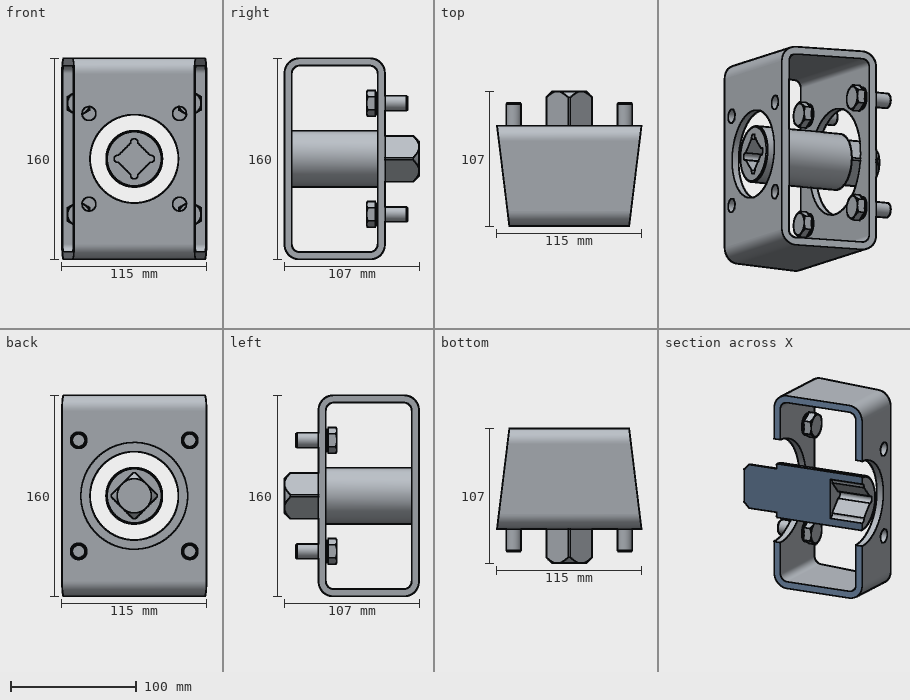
import cadquery as cq
import math


bracket_height = 160.0
bracket_depth = 80.0
back_width = 115.0
front_width = 95.4
outer_bend_radius = 12.0
wall = outer_bend_radius / 2
inner_bend_radius = outer_bend_radius - wall
front_opening_dia = 70.0
back_opening_dia = 85.0
front_hole_dia = 11.0
front_hole_spacing = 72.0
bolt_hole_dia = 13.0
bolt_spacing = 88.3

shaft_dia = 45.0
shaft_chamfer = 1.0
shaft_front_y = -bracket_depth
shaft_back_y = -2.2
drive_square = 27.0
drive_corner_dia = 36.5
drive_chamfer = 4.6
drive_end_y = 27.0
socket_square = 21.8
socket_depth = 28.8
relief_dia = 5.8
relief_centre_radius = 13.1

bolt_dia = 12.0
bolt_tip_chamfer = 1.0
bolt_tip_y = 18.0
head_flats = 18.0
head_height = 6.9
head_face_dia = 17.8
head_chamfer_angle = 30.0
collar_dia = 16.6
collar_height = 0.5
washer_dia = 18.0
washer_bore = bolt_hole_dia
washer_thickness = 1.3
washer_chamfer = 0.6


def cylinder(diameter, y_start, y_end):
    """Cylinder on the Y axis, from y_start to a larger y_end."""
    return cq.Workplane("XZ", origin=(0, y_end, 0)).circle(diameter / 2).extrude(y_end - y_start)


def diamond_bar(side, y_start, y_end):
    """Square bar on the Y axis with its corners on the X and Z axes."""
    bar = cq.Workplane("XZ", origin=(0, y_end, 0)).rect(side, side).extrude(y_end - y_start)
    return bar.rotate((0, 0, 0), (0, 1, 0), 45)


def square_pattern(spacing):
    """The four (x, z) corner places of a square pattern."""
    half = spacing / 2
    return [(x, z) for x in (-half, half) for z in (-half, half)]


def rounded_block(depth, height, radius):
    """Block as wide as the bracket, centred in its depth, with its edges along X rounded."""
    block = cq.Workplane("XY", origin=(0, -bracket_depth / 2, 0)).box(back_width, depth, height)
    return block.edges("|X").fillet(radius)


def make_bracket():
    outside = rounded_block(bracket_depth, bracket_height, outer_bend_radius)
    inside = rounded_block(bracket_depth - 2 * wall, bracket_height - 2 * wall, inner_bend_radius)
    tapered_outline = (
        cq.Workplane("XY")
        .polyline([
            (-back_width / 2, 0),
            (back_width / 2, 0),
            (front_width / 2, -bracket_depth),
            (-front_width / 2, -bracket_depth),
        ])
        .close()
        .extrude(bracket_height / 2, both=True)
    )
    tube = outside.cut(inside).intersect(tapered_outline)

    front_wall = (-bracket_depth, wall - bracket_depth)
    back_wall = (-wall, 0)
    tube = tube.cut(cylinder(front_opening_dia, *front_wall))
    tube = tube.cut(cylinder(back_opening_dia, *back_wall))
    for x, z in square_pattern(front_hole_spacing):
        tube = tube.cut(cylinder(front_hole_dia, *front_wall).translate((x, 0, z)))
    for x, z in square_pattern(bolt_spacing):
        tube = tube.cut(cylinder(bolt_hole_dia, *back_wall).translate((x, 0, z)))
    return tube


def make_socket():
    """Square recess with a round relief along each corner."""
    bottom_y = shaft_front_y + socket_depth
    socket = diamond_bar(socket_square, shaft_front_y, bottom_y)
    relief = cylinder(relief_dia, shaft_front_y, bottom_y).translate((relief_centre_radius, 0, 0))
    for quarter in range(4):
        socket = socket.union(relief.rotate((0, 0, 0), (0, 1, 0), 90 * quarter))
    return socket


def make_coupling():
    shaft = cylinder(shaft_dia, shaft_front_y, shaft_back_y).edges().chamfer(shaft_chamfer)
    drive_limit = cylinder(drive_corner_dia, shaft_back_y, drive_end_y).faces(">Y").chamfer(drive_chamfer)
    drive = diamond_bar(drive_square, shaft_back_y, drive_end_y).intersect(drive_limit)
    return shaft.union(drive).cut(make_socket())


def make_bolt():
    seat_y = -wall - washer_thickness
    head_back_y = seat_y - collar_height
    head_front_y = head_back_y - head_height
    shank = cylinder(bolt_dia, seat_y, bolt_tip_y).faces(">Y").chamfer(bolt_tip_chamfer)
    collar = cylinder(collar_dia, head_back_y, seat_y)

    head_corners = head_flats / math.cos(math.radians(30))
    chamfer_width = (head_corners - head_face_dia) / 2
    chamfer_height = chamfer_width * math.tan(math.radians(head_chamfer_angle))
    head = cq.Workplane("XZ", origin=(0, head_back_y, 0)).polygon(6, head_corners).extrude(head_height)
    head = head.rotate((0, 0, 0), (0, 1, 0), 30)
    head_limit = (
        cylinder(head_corners, head_front_y, head_back_y)
        .faces("<Y")
        .edges()
        .chamfer(chamfer_height, chamfer_width)
    )
    return head.intersect(head_limit).union(collar).union(shank)


def make_washer():
    washer_front_y = -wall - washer_thickness
    disc = cylinder(washer_dia, washer_front_y, -wall).faces("<Y").chamfer(washer_chamfer)
    return disc.cut(cylinder(washer_bore, washer_front_y, -wall))


bracket = make_bracket()
coupling = make_coupling()
bolts = []
washers = []
for bolt_x, bolt_z in square_pattern(bolt_spacing):
    bolts.append(make_bolt().translate((bolt_x, 0, bolt_z)).val())
    washers.append(make_washer().translate((bolt_x, 0, bolt_z)).val())

result = cq.Compound.makeCompound([bracket.val(), coupling.val(), *bolts, *washers])